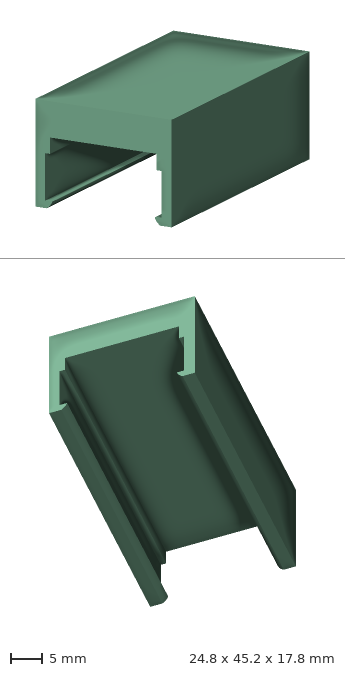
import cadquery as cq

width = 24.8
length = 45.2
height = 17.8

top_thickness = 6.0
wall_thickness = 1.8
shoulder_thickness = 2.7
shoulder_height = 2.7

lip_reach = 1.25
lip_height = 1.2
foot_width = 2.1
lip_bulge = 0.15

half_width = width / 2
ceiling_z = height - top_thickness
shoulder_z = ceiling_z - shoulder_height
wall_x = half_width - wall_thickness
shoulder_x = half_width - shoulder_thickness
lip_x = wall_x - lip_reach
foot_x = half_width - foot_width

half_section = (
    cq.Workplane("XZ", origin=(0, length / 2, 0))
    .moveTo(0, height)
    .lineTo(half_width, height)
    .lineTo(half_width, 0)
    .lineTo(foot_x, 0)
    .sagittaArc((lip_x, lip_height), lip_bulge)
    .lineTo(wall_x, lip_height)
    .lineTo(wall_x, shoulder_z)
    .lineTo(shoulder_x, shoulder_z)
    .lineTo(shoulder_x, ceiling_z)
    .lineTo(0, ceiling_z)
    .close()
    .extrude(length)
)

result = half_section.union(half_section.mirror("YZ")).clean()